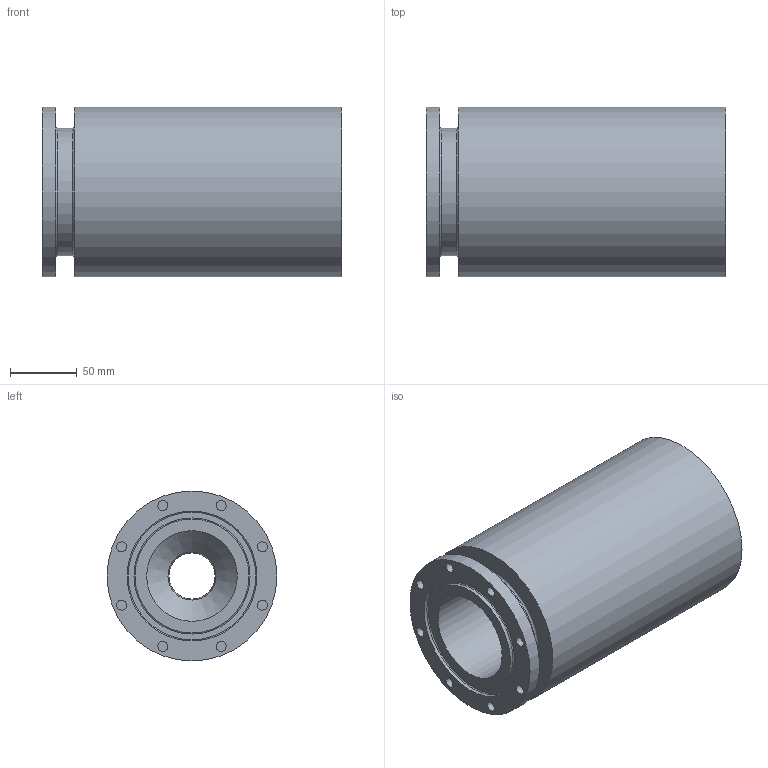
import cadquery as cq

total_length = 223.96
outer_diameter = 127.0
flange_thickness = 10.0
barrel_length = 200.0
relief_length = total_length - barrel_length - flange_thickness
neck_diameter = 95.25
neck_fillet = 1.5

entry_diameter = 67.8
entry_depth = 150.0
exit_diameter = 34.5
throat_diameter = 36.0
throat_length = 3.0
cone_length = (entry_diameter - throat_diameter) / 2

groove_outer_diameter = 97.0
groove_inner_diameter = 85.2
groove_depth = 3.6
groove_fillet = 0.8

bolt_count = 8
bolt_circle_diameter = 113.8
bolt_hole_diameter = 7.5
bolt_start_angle = 180 / bolt_count


def turn(points):
    """Revolve a closed outline of (x, radius) points about the X axis."""
    return cq.Workplane("XZ").polyline(points).close().revolve(360, (0, 0, 0), (1, 0, 0))


def ring(outer, inner, start, length):
    """Make a ring of the given diameters, starting at X = start."""
    end = start + length
    return turn([(start, inner / 2), (start, outer / 2), (end, outer / 2), (end, inner / 2)])


def make_body():
    body = turn(
        [
            (0, 0),
            (0, outer_diameter / 2),
            (total_length, outer_diameter / 2),
            (total_length, 0),
        ]
    )
    relief = ring(outer_diameter, neck_diameter, flange_thickness, relief_length)
    relief = relief.edges(cq.selectors.RadiusNthSelector(0)).fillet(neck_fillet)
    return body.cut(relief)


def make_bore():
    cone_end = entry_depth + cone_length
    return turn(
        [
            (0, 0),
            (0, entry_diameter / 2),
            (entry_depth, entry_diameter / 2),
            (cone_end, throat_diameter / 2),
            (cone_end + throat_length, exit_diameter / 2),
            (total_length, exit_diameter / 2),
            (total_length, 0),
        ]
    )


def make_seal_groove():
    groove = ring(groove_outer_diameter, groove_inner_diameter, 0, groove_depth)
    return groove.faces(">X").edges().fillet(groove_fillet)


def make_bolt_holes():
    return (
        cq.Workplane("YZ")
        .polarArray(bolt_circle_diameter / 2, bolt_start_angle, 360, bolt_count)
        .circle(bolt_hole_diameter / 2)
        .extrude(flange_thickness)
    )


result = make_body().cut(make_bore()).cut(make_seal_groove()).cut(make_bolt_holes())